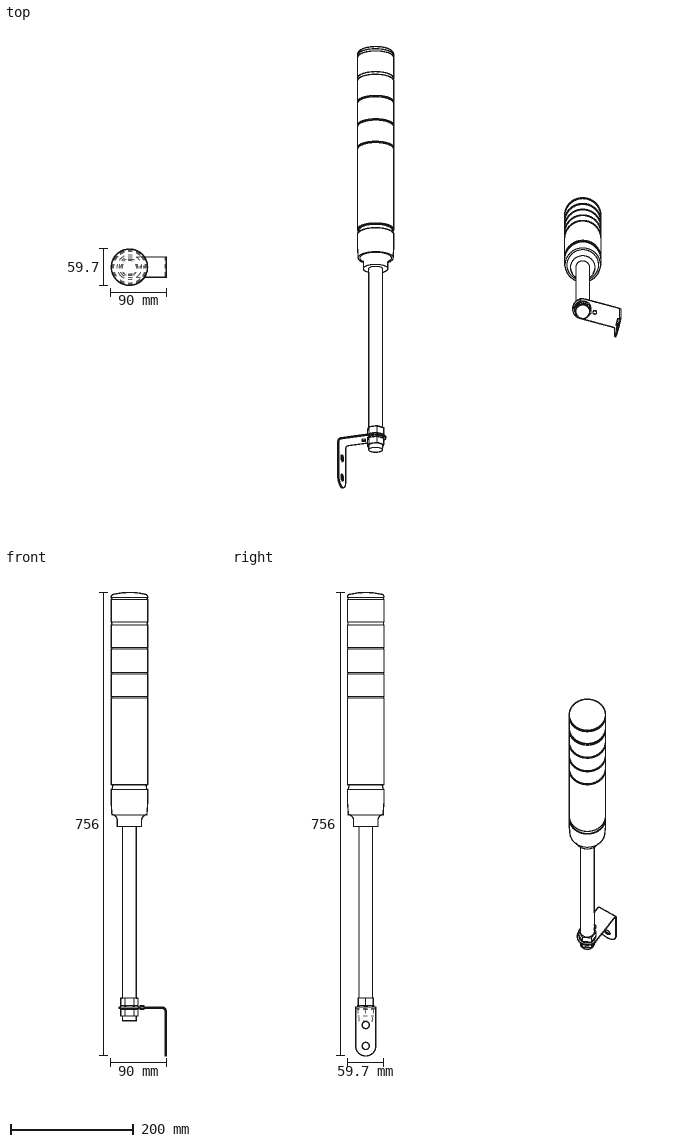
import cadquery as cq


total_height = 756
overall_length_x = 90.0
tower_radius = 29.85
cap_radius = 26.0
cap_edge_z = 753.0
cap_side_z = 748.0
dome_rise = total_height - cap_edge_z
dome_radius = (cap_radius**2 + dome_rise**2) / (2 * dome_rise)
groove_depth = 1.0
groove_heights = [(583.5, 586.0), (623.0, 625.0), (663.5, 666.0), (703.0, 707.5), (744.0, 747.5)]

rim_chamfer_top_z = 443.0
rim_radius = 29.1
waist_top_radius = 27.0
waist_bottom_radius = 29.0
waist_top_z = 441.5
waist_bottom_z = 434.5
taper_top_z = 412.0
base_bottom_z = 393.0
base_bottom_radius = 29.0
collar_radius = 20.0
collar_flare_radius = 26.0
collar_top_z = 384.0
collar_bottom_z = 374.0

pole_radius = 11.0
pole_bottom_z = 57.5
nut_across_corners = 29.0
nut_top_z = 94.5
nut_bottom_z = 65.0

bracket_width = 33.0
bracket_thickness = 2.0
bracket_top_z = 80.0
bracket_right_x = overall_length_x - tower_radius
bend_outer_radius = 7.0
bend_inner_radius = bend_outer_radius - bracket_thickness
end_radius = bracket_width / 2
bolt_hole_diameter = 11.0
bolt_hole_spacing = 34.0

washer_radius = 13.5
washer_thickness = 2.0
washer_stack_top_z = bracket_top_z + washer_thickness
washer_stack_bottom_z = bracket_top_z - bracket_thickness - washer_thickness
pin_x = 20.5
pin_diameter = 6.0


def make_tower():
    """Revolve the cap, grooved modules, waist, tapered base and flared collar."""
    profile = (
        cq.Workplane("XZ")
        .moveTo(0, collar_bottom_z)
        .lineTo(collar_radius, collar_bottom_z)
        .lineTo(collar_radius, collar_top_z)
        .tangentArcPoint((collar_flare_radius, base_bottom_z), relative=False)
        .lineTo(base_bottom_radius, base_bottom_z)
        .lineTo(tower_radius, taper_top_z)
        .lineTo(tower_radius, waist_bottom_z)
        .lineTo(waist_bottom_radius, waist_bottom_z)
        .lineTo(waist_top_radius, waist_top_z)
        .lineTo(rim_radius, waist_top_z)
        .lineTo(tower_radius, rim_chamfer_top_z)
    )
    for groove_bottom_z, groove_top_z in groove_heights:
        profile = (
            profile.lineTo(tower_radius, groove_bottom_z)
            .lineTo(tower_radius - groove_depth, groove_bottom_z)
            .lineTo(tower_radius - groove_depth, groove_top_z)
            .lineTo(tower_radius, groove_top_z)
        )
    profile = (
        profile.lineTo(tower_radius, cap_side_z)
        .tangentArcPoint((cap_radius, cap_edge_z), relative=False)
        .radiusArc((0, total_height), -dome_radius)
        .close()
    )
    return profile.revolve(360, (0, 0, 0), (0, 1, 0))


def make_pole():
    height = collar_bottom_z - pole_bottom_z
    return cq.Workplane("XY").workplane(offset=pole_bottom_z).circle(pole_radius).extrude(height)


def make_nuts():
    """One hexagonal length spans both nuts, with corners on the X axis."""
    height = nut_top_z - nut_bottom_z
    return cq.Workplane("XY").workplane(offset=nut_bottom_z).polygon(6, nut_across_corners).extrude(height)


def make_bracket():
    """Bent strip: a horizontal arm with a round end, and a hanging leg with two bolt holes."""
    inner_x = bracket_right_x - bracket_thickness
    arm = (
        cq.Workplane("XY")
        .workplane(offset=bracket_top_z - bracket_thickness)
        .moveTo(bracket_right_x, -end_radius)
        .lineTo(0, -end_radius)
        .threePointArc((-end_radius, 0), (0, end_radius))
        .lineTo(bracket_right_x, end_radius)
        .close()
        .extrude(bracket_thickness)
    )
    leg = (
        cq.Workplane("YZ")
        .workplane(offset=inner_x)
        .moveTo(-end_radius, bracket_top_z)
        .lineTo(-end_radius, end_radius)
        .threePointArc((0, 0), (end_radius, end_radius))
        .lineTo(end_radius, bracket_top_z)
        .close()
        .extrude(bracket_thickness)
    )
    bolt_holes = (
        cq.Workplane("YZ")
        .workplane(offset=inner_x)
        .pushPoints([(0, end_radius), (0, end_radius + bolt_hole_spacing)])
        .circle(bolt_hole_diameter / 2)
        .extrude(bracket_thickness)
    )
    outer_corner = cq.selectors.NearestToPointSelector((bracket_right_x, 0, bracket_top_z))
    inner_corner = cq.selectors.NearestToPointSelector((inner_x, 0, bracket_top_z - bracket_thickness))
    bracket = arm.union(leg).edges(outer_corner).fillet(bend_outer_radius)
    return bracket.edges(inner_corner).fillet(bend_inner_radius).cut(bolt_holes)


def make_clamp_disc(center_x, radius):
    """Upright disc from the underside of the lower washer to the top of the upper one."""
    return (
        cq.Workplane("XY")
        .workplane(offset=washer_stack_bottom_z)
        .center(center_x, 0)
        .circle(radius)
        .extrude(washer_stack_top_z - washer_stack_bottom_z)
    )


washers = make_clamp_disc(0, washer_radius)
locating_pin = make_clamp_disc(pin_x, pin_diameter / 2)

result = (
    make_tower()
    .union(make_pole())
    .union(make_nuts())
    .union(make_bracket())
    .union(washers)
    .union(locating_pin)
)